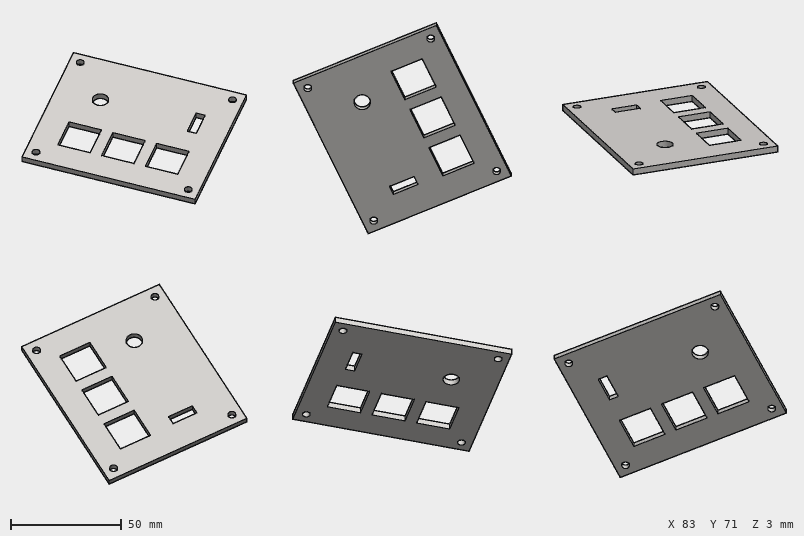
import cadquery as cq

PLATE_LENGTH = 83.0
PLATE_WIDTH = 71.0
PLATE_THICKNESS = 3.0

MOUNT_HOLE_DIAMETER = 3.5
MOUNT_HOLE_INSET = 5.0

WINDOW_SIZE = 15.5
WINDOW_COUNT = 3
WINDOW_PITCH = 21.0
WINDOW_ROW_Y = -15.0

UPPER_ROW_Y = 10.9
ROUND_HOLE_DIAMETER = 7.4
ROUND_HOLE_X = -20.0
SLOT_WIDTH = 4.3
SLOT_HEIGHT = 12.2
SLOT_X = 25.9


def make_plate():
    return cq.Workplane("XY").box(
        PLATE_LENGTH, PLATE_WIDTH, PLATE_THICKNESS, centered=(True, True, False)
    )


def cut_mount_holes(plate):
    spacing_x = PLATE_LENGTH - 2 * MOUNT_HOLE_INSET
    spacing_y = PLATE_WIDTH - 2 * MOUNT_HOLE_INSET
    holes = (
        cq.Workplane("XY")
        .rect(spacing_x, spacing_y, forConstruction=True)
        .vertices()
        .circle(MOUNT_HOLE_DIAMETER / 2)
        .extrude(PLATE_THICKNESS)
    )
    return plate.cut(holes)


def cut_rectangle(plate, x, y, size_x, size_y):
    """Cut a rectangular opening centred on (x, y) through the plate."""
    opening = cq.Workplane("XY").center(x, y).rect(size_x, size_y).extrude(PLATE_THICKNESS)
    return plate.cut(opening)


def cut_windows(plate):
    first_x = -WINDOW_PITCH * (WINDOW_COUNT - 1) / 2
    for index in range(WINDOW_COUNT):
        window_x = first_x + index * WINDOW_PITCH
        plate = cut_rectangle(plate, window_x, WINDOW_ROW_Y, WINDOW_SIZE, WINDOW_SIZE)
    return plate


def cut_round_hole(plate):
    hole = (
        cq.Workplane("XY")
        .center(ROUND_HOLE_X, UPPER_ROW_Y)
        .circle(ROUND_HOLE_DIAMETER / 2)
        .extrude(PLATE_THICKNESS)
    )
    return plate.cut(hole)


def cut_slot(plate):
    return cut_rectangle(plate, SLOT_X, UPPER_ROW_Y, SLOT_WIDTH, SLOT_HEIGHT)


result = make_plate()
result = cut_mount_holes(result)
result = cut_windows(result)
result = cut_round_hole(result)
result = cut_slot(result)